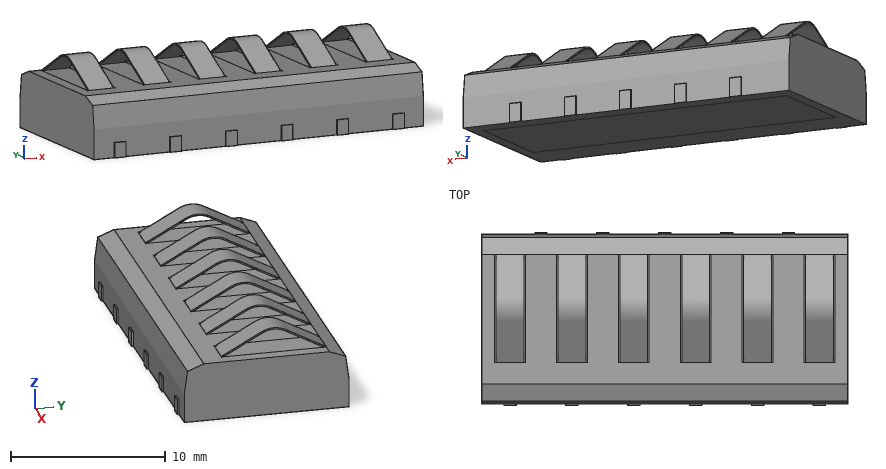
import cadquery as cq
import math

LENGTH = 23.7
BASE_DEPTH = 11.0
SHOULDER_DEPTH = 10.57
TOP_DEPTH = 8.4
LOWER_WALL_HEIGHT = 2.0
SHOULDER_HEIGHT = 3.55
HOUSING_HEIGHT = 3.98

CONTACT_COUNT = 6
PITCH = 4.0

TAB_WIDTH = 0.8
TAB_PROJECTION = 0.107
FRONT_TAB_HEIGHT = 1.02
REAR_TAB_HEIGHT = 1.25

WINDOW_WIDTH = 2.0
WINDOW_LENGTH = 7.0
WINDOW_Y = (TOP_DEPTH - WINDOW_LENGTH) / 2
ROOF_THICKNESS = 1.0
CORE_BAR_LENGTH = (CONTACT_COUNT - 1) * PITCH + WINDOW_WIDTH
CORE_BAR_HEIGHT = HOUSING_HEIGHT - ROOF_THICKNESS

SPRING_WIDTH = 1.8
SPRING_THICKNESS = 0.1
SPRING_HEIGHT = 1.65
SPRING_HALF_SPAN = WINDOW_LENGTH / 2
CREST_HALF_SPAN = 0.8
STEEPEST_FLANK = math.radians(45)
BISECTION_STEPS = 50


def centred_positions(count):
    """X positions of a row of equally spaced items, centred on the origin."""
    return [(i - (count - 1) / 2) * PITCH for i in range(count)]


def block(width, depth, height, x, y, z):
    """Box centred on x and y, with its underside at z."""
    return cq.Workplane("XY").box(width, depth, height, centered=(True, True, False)).translate((x, y, z))


def make_core():
    """Bar with one raised pad under each spring."""
    core = block(CORE_BAR_LENGTH, WINDOW_LENGTH, CORE_BAR_HEIGHT, 0, WINDOW_Y, 0)
    for x in centred_positions(CONTACT_COUNT):
        core = core.union(block(WINDOW_WIDTH, WINDOW_LENGTH, HOUSING_HEIGHT, x, WINDOW_Y, 0))
    return core


def add_tabs(body, count, height, side):
    """Low tabs at the foot of the front (side = -1) or rear (side = 1) wall."""
    tab_depth = 2 * TAB_PROJECTION
    for x in centred_positions(count):
        body = body.union(block(TAB_WIDTH, tab_depth, height, x, side * BASE_DEPTH / 2, 0))
    return body


def make_housing(core):
    """Long block with drafted walls and bevelled top edges, hollowed to take the core."""
    right_half = [
        (BASE_DEPTH / 2, 0),
        (BASE_DEPTH / 2, LOWER_WALL_HEIGHT),
        (SHOULDER_DEPTH / 2, SHOULDER_HEIGHT),
        (TOP_DEPTH / 2, HOUSING_HEIGHT),
    ]
    left_half = [(-y, z) for y, z in reversed(right_half)]
    body = cq.Workplane("YZ").polyline(right_half + left_half).close().extrude(LENGTH / 2, both=True)
    body = add_tabs(body, CONTACT_COUNT, FRONT_TAB_HEIGHT, -1)
    body = add_tabs(body, CONTACT_COUNT - 1, REAR_TAB_HEIGHT, 1)
    return body.cut(core)


def flank_angle():
    """Slope of the flanks that makes the crest reach SPRING_HEIGHT.

    The flank rises flank_run * tan(a) and the tangent arc adds CREST_HALF_SPAN * tan(a / 2).
    The sum grows with the angle a, so bisection finds it.
    """
    flank_run = SPRING_HALF_SPAN - CREST_HALF_SPAN
    low, high = 0, STEEPEST_FLANK
    for _ in range(BISECTION_STEPS):
        angle = (low + high) / 2
        if flank_run * math.tan(angle) + CREST_HALF_SPAN * math.tan(angle / 2) < SPRING_HEIGHT:
            low = angle
        else:
            high = angle
    return angle


def make_spring(x):
    """Bent strip standing on the core pad at x."""
    angle = flank_angle()
    outer_radius = CREST_HALF_SPAN / math.sin(angle)
    inner_radius = outer_radius - SPRING_THICKNESS
    arc_centre = SPRING_HEIGHT - outer_radius
    inner_crest_y = inner_radius * math.sin(angle)
    outer_crest_z = arc_centre + outer_radius * math.cos(angle)
    inner_crest_z = arc_centre + inner_radius * math.cos(angle)
    inner_foot_y = SPRING_HALF_SPAN - SPRING_THICKNESS / math.sin(angle)
    return (
        cq.Workplane("YZ")
        .moveTo(SPRING_HALF_SPAN, 0)
        .lineTo(CREST_HALF_SPAN, outer_crest_z)
        .threePointArc((0, SPRING_HEIGHT), (-CREST_HALF_SPAN, outer_crest_z))
        .lineTo(-SPRING_HALF_SPAN, 0)
        .lineTo(-inner_foot_y, 0)
        .lineTo(-inner_crest_y, inner_crest_z)
        .threePointArc((0, SPRING_HEIGHT - SPRING_THICKNESS), (inner_crest_y, inner_crest_z))
        .lineTo(inner_foot_y, 0)
        .close()
        .extrude(SPRING_WIDTH / 2, both=True)
        .translate((x, WINDOW_Y, HOUSING_HEIGHT))
    )


core = make_core()
housing = make_housing(core)
springs = [make_spring(x) for x in centred_positions(CONTACT_COUNT)]

result = cq.Compound.makeCompound([housing.val(), core.val(), *(spring.val() for spring in springs)])